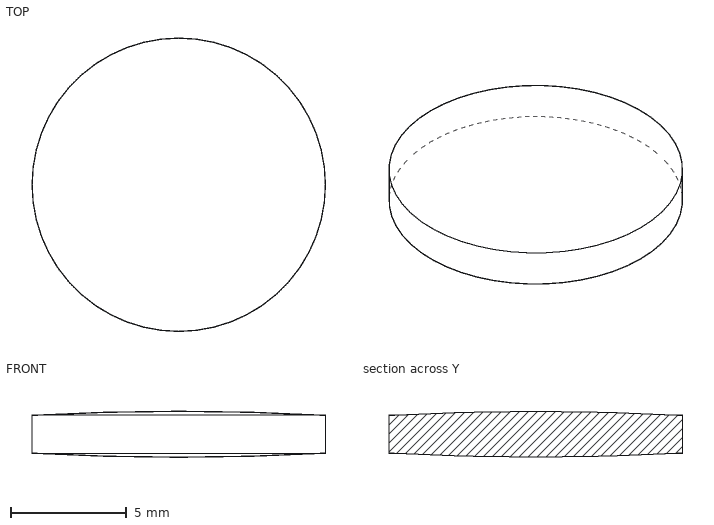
import cadquery as cq

diameter = 12.7
center_thickness = 2.0
edge_thickness = 1.645

blank_allowance = 1.0

radius = diameter / 2
sag = (center_thickness - edge_thickness) / 2
surface_radius = (radius**2 + sag**2) / (2 * sag)
sphere_offset = surface_radius - center_thickness / 2


def make_blank():
    """Cylindrical blank that forms the rim, centred on the origin."""
    height = center_thickness + 2 * blank_allowance
    base = cq.Workplane("XY", origin=(0, 0, -height / 2))
    return base.circle(radius).extrude(height)


def make_sphere(side):
    """Sphere whose surface forms the lens face on the given side (+1 top, -1 bottom).

    Its poles lie along Y and its seam crosses the optical axis, so the face
    is divided into two halves along X = 0.
    """
    seam_direction = cq.Vector(0, 0, side)
    pole_direction = cq.Vector(0, 1, 0)
    center = cq.Vector(0, 0, -side * sphere_offset)
    return cq.Workplane(cq.Plane(center, seam_direction, pole_direction)).sphere(surface_radius)


result = make_blank()
for side in (1, -1):
    result = result.intersect(make_sphere(side), clean=False)